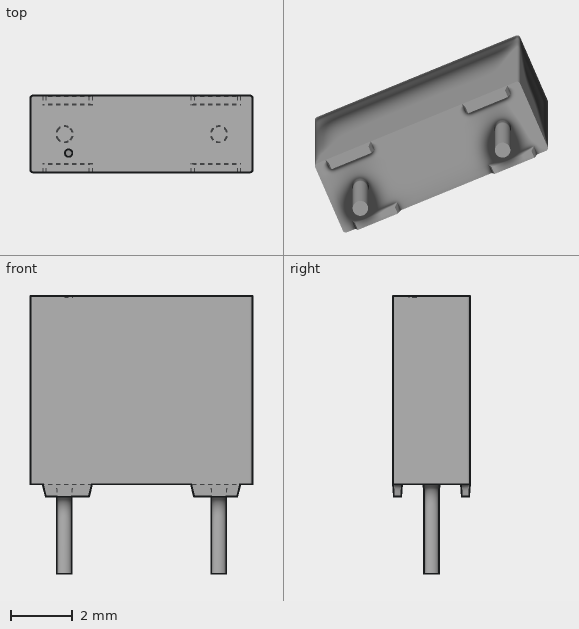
import cadquery as cq


case_length = 7.2
case_width = 2.5
overall_height = 9.0
foot_height = 0.4
lead_below_feet = 2.5
lead_length = lead_below_feet + foot_height
case_height = overall_height - lead_length
corner_radius = 0.1
top_edge_radius = 0.025

foot_root_length = 1.6
foot_root_width = 0.3
foot_tip_length = 1.4
foot_tip_width = 0.24
foot_x = 2.4
foot_y = (case_width - foot_root_width) / 2

lead_pitch = 5.0
lead_diameter = 0.5
collar_diameter = 0.55
collar_height = 0.15

mark_diameter = 0.24
mark_depth = 0.05
mark_x = -2.36
mark_y = -0.62


def make_case():
    case = cq.Workplane("XY").box(case_length, case_width, case_height, centered=(True, True, False))
    case = case.edges("|Z").fillet(corner_radius)
    return case.faces(">Z").edges().fillet(top_edge_radius)


def make_foot(x, y):
    return (
        cq.Workplane("XY")
        .center(x, y)
        .rect(foot_root_length, foot_root_width)
        .workplane(offset=-foot_height)
        .rect(foot_tip_length, foot_tip_width)
        .loft(combine=True)
    )


def make_lead(x):
    """Revolve the lead's half profile about its own vertical axis."""
    lead_radius = lead_diameter / 2
    profile = (
        cq.Workplane("XZ", origin=(x, 0, 0))
        .moveTo(0, 0)
        .lineTo(collar_diameter / 2, 0)
        .lineTo(lead_radius, -collar_height)
        .lineTo(lead_radius, -lead_length)
        .lineTo(0, -lead_length)
        .close()
    )
    return profile.revolve(360, (0, 0, 0), (0, 1, 0))


def make_mark():
    return (
        cq.Workplane("XY", origin=(mark_x, mark_y, case_height - mark_depth))
        .circle(mark_diameter / 2)
        .extrude(mark_depth)
    )


result = make_case().cut(make_mark())
for side in (-1, 1):
    result = result.union(make_lead(side * lead_pitch / 2))
    for end in (-1, 1):
        result = result.union(make_foot(side * foot_x, end * foot_y))